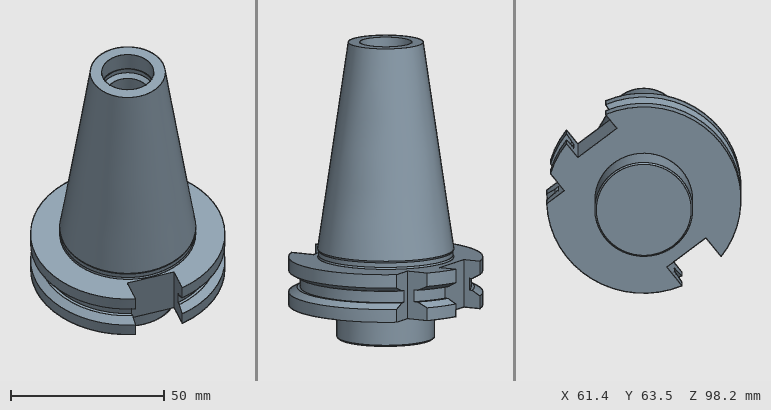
import cadquery as cq
import math


gauge_diameter = 44.45
taper_length = 68.25
taper_ratio = 7 / 24
small_diameter = gauge_diameter - taper_ratio * taper_length
taper_overrun = 0.4
large_diameter = gauge_diameter + taper_ratio * taper_overrun

relief_diameter = 44.0
relief_top = -1.0
relief_bottom = -2.5
collar_diameter = 44.5

flange_diameter = 63.49
flange_top = -3.1
flange_bottom = -18.9
groove_center = -11.1
groove_mouth_width = 7.1
groove_floor_width = 3.9
groove_floor_diameter = 55.9
flank_angle = 30.0

nose_diameter = 32.0
nose_bottom = -30.0
nose_chamfer = 0.5

slot_width = 16.15
left_slot_floor = 24.7
right_slot_floor = 22.6
notch_offset = 18.5

pilot_diameter = 17.01
pilot_depth = 6.4
recess_diameter = 17.41
recess_depth = 8.2
core_diameter = 14.0
core_depth = 43.0
drill_point_angle = 120.0


def revolve_profile(points):
    """Solid of revolution about Z from (radius, z) points."""
    return cq.Workplane("XZ").polyline(points).close().revolve(360, (0, 0, 0), (0, 1, 0))


def cone_height(radius_change):
    """Axial length of a drill-point cone over a change of radius."""
    return radius_change / math.tan(math.radians(drill_point_angle / 2))


def make_body():
    flange_radius = flange_diameter / 2
    mouth_half = groove_mouth_width / 2
    floor_half = groove_floor_width / 2
    flank_depth = (mouth_half - floor_half) / math.tan(math.radians(flank_angle))
    flank_radius = flange_radius - flank_depth
    floor_radius = groove_floor_diameter / 2
    nose_radius = nose_diameter / 2
    return revolve_profile([
        (0, taper_length),
        (small_diameter / 2, taper_length),
        (large_diameter / 2, -taper_overrun),
        (relief_diameter / 2, relief_top),
        (relief_diameter / 2, relief_bottom),
        (collar_diameter / 2, flange_top),
        (flange_radius, flange_top),
        (flange_radius, groove_center + mouth_half),
        (flank_radius, groove_center + floor_half),
        (floor_radius, groove_center + floor_half),
        (floor_radius, groove_center - floor_half),
        (flank_radius, groove_center - floor_half),
        (flange_radius, groove_center - mouth_half),
        (flange_radius, flange_bottom),
        (nose_radius, flange_bottom),
        (nose_radius, nose_bottom + nose_chamfer),
        (nose_radius - nose_chamfer, nose_bottom),
        (0, nose_bottom),
    ])


def make_bore():
    pilot_radius = pilot_diameter / 2
    recess_radius = recess_diameter / 2
    core_radius = core_diameter / 2
    recess_z = taper_length - recess_depth
    core_z = taper_length - core_depth
    return revolve_profile([
        (0, taper_length),
        (pilot_radius, taper_length),
        (pilot_radius, taper_length - pilot_depth),
        (recess_radius, taper_length - pilot_depth),
        (recess_radius, recess_z),
        (core_radius, recess_z - cone_height(recess_radius - core_radius)),
        (core_radius, core_z),
        (0, core_z - cone_height(core_radius)),
    ])


def flange_cutter(x_inner, x_outer, y_min, y_max):
    """Box over the full flange thickness."""
    return cq.Workplane("XY").box(
        x_outer - x_inner, y_max - y_min, flange_top - flange_bottom, centered=False
    ).translate((x_inner, y_min, flange_bottom))


def cut_flange(body):
    half_slot = slot_width / 2
    left_slot = flange_cutter(-flange_diameter, -left_slot_floor, -half_slot, half_slot)
    right_slot = flange_cutter(right_slot_floor, flange_diameter, -half_slot, half_slot)
    notch = flange_cutter(-flange_diameter, -notch_offset, notch_offset, flange_diameter)
    return body.cut(left_slot).cut(right_slot).cut(notch)


result = cut_flange(make_body()).cut(make_bore())